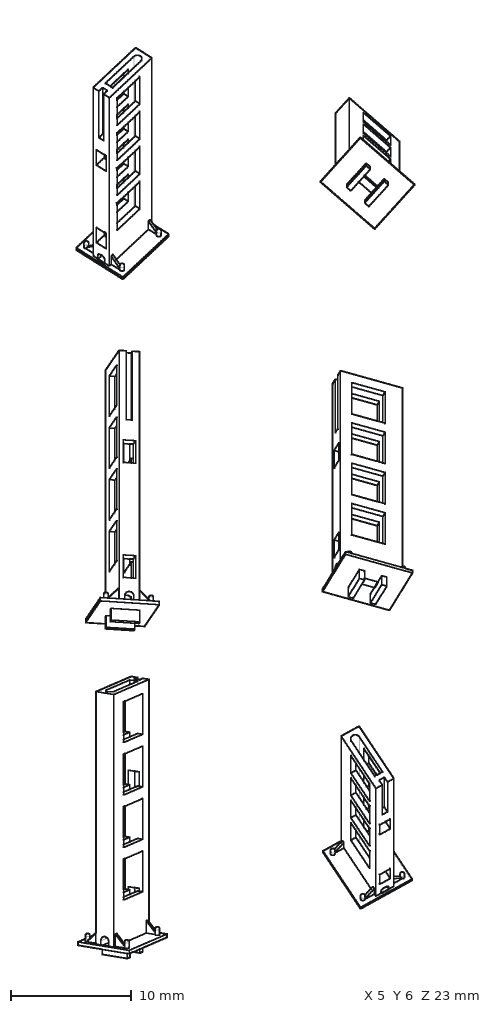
import cadquery as cq

TOTAL_HEIGHT = 23
PLATE_WIDTH = 5.0
PLATE_LENGTH = 6.0
PLATE_THICKNESS = 0.3

TAB_WIDTH = 2.44
TAB_THICKNESS = 0.45
TAB_HEIGHT = 1.01
TAB_SPACING = 2.0

COLUMN_WIDTH = 1.75
COLUMN_LENGTH = 5.57
PLATE_TOP = TAB_HEIGHT + PLATE_THICKNESS
COLUMN_FRONT = -COLUMN_LENGTH / 2

WINDOW_COUNT = 4
WINDOW_LENGTH = 3
WINDOW_HEIGHT = 3.5
WINDOW_PITCH = 4.5
WINDOW_TOP_MARGIN = 1.0
WINDOW_FRONT = -1.77

SLOT_WIDTH = 0.75
SLOT_BACK = 2.32

OPENING_LENGTH = 1.7

GROOVE_WIDTH = 0.5
GROOVE_DEPTH = 0.5
GROOVE_LENGTH = 6.0

POCKET_WIDTH = 1.04
POCKET_HEIGHT = 1.95
POCKET_BOTTOMS = (3.27, 13.27)

ARCH_HEIGHT = 0.75

CHANNEL_DEPTH = 0.1

PIN_DIAMETER = 0.4
PIN_SHAFT_HEIGHT = 0.48
PIN_SPACING_X = 3.82
PIN_SPACING_Y = 4.8
RIB_THICKNESS = 0.23
RIB_HEIGHT = 1.05
RIB_SPACING_Y = 4.88


def block(x_range, y_range, z_range):
    """Box filling the given ranges along X, Y and Z."""
    (x0, x1), (y0, y1), (z0, z1) = x_range, y_range, z_range
    return cq.Workplane("XY").box(x1 - x0, y1 - y0, z1 - z0, centered=False).translate((x0, y0, z0))


def centered(size):
    """Range of the given size centred on zero."""
    return (-size / 2, size / 2)


def make_base():
    base = block(centered(PLATE_WIDTH), centered(PLATE_LENGTH), (TAB_HEIGHT, PLATE_TOP))
    for side in (-1, 1):
        tab = block(centered(TAB_WIDTH), centered(TAB_THICKNESS), (0, TAB_HEIGHT))
        base = base.union(tab.translate((0, side * TAB_SPACING / 2, 0)))
    return base


def make_pin():
    """Round pin with a domed end, standing at the origin."""
    radius = PIN_DIAMETER / 2
    shaft = cq.Workplane("XY").circle(radius).extrude(PIN_SHAFT_HEIGHT)
    return shaft.union(cq.Workplane("XY").sphere(radius).translate((0, 0, PIN_SHAFT_HEIGHT)))


def make_rib(side):
    """45 degree triangular rib leaning on one side face of the column."""
    wall = COLUMN_WIDTH / 2
    profile = [(side * wall, 0), (side * (wall + RIB_HEIGHT), 0), (side * wall, RIB_HEIGHT)]
    return cq.Workplane("XZ").polyline(profile).close().extrude(RIB_THICKNESS / 2, both=True)


def add_corner_supports(body):
    """Pin and rib at each of the four plate corners."""
    for side_x in (-1, 1):
        for side_y in (-1, 1):
            pin = make_pin().translate((side_x * PIN_SPACING_X / 2, side_y * PIN_SPACING_Y / 2, PLATE_TOP))
            rib = make_rib(side_x).translate((0, side_y * RIB_SPACING_Y / 2, PLATE_TOP))
            body = body.union(pin).union(rib)
    return body


def cut_windows(body):
    top = TOTAL_HEIGHT - WINDOW_TOP_MARGIN
    for index in range(WINDOW_COUNT):
        window_top = top - index * WINDOW_PITCH
        body = body.cut(
            block(
                centered(COLUMN_WIDTH),
                (WINDOW_FRONT, WINDOW_FRONT + WINDOW_LENGTH),
                (window_top - WINDOW_HEIGHT, window_top),
            )
        )
    return body


def cut_slot(body):
    """Slot down to the plate, and its opening through the plate between the tabs."""
    half = SLOT_WIDTH / 2
    slot = (
        cq.Workplane("XY", origin=(0, 0, PLATE_TOP))
        .moveTo(-half, WINDOW_FRONT)
        .lineTo(half, WINDOW_FRONT)
        .lineTo(half, SLOT_BACK - half)
        .threePointArc((0, SLOT_BACK), (-half, SLOT_BACK - half))
        .close()
        .extrude(TOTAL_HEIGHT - PLATE_TOP)
    )
    opening = block(centered(SLOT_WIDTH), centered(OPENING_LENGTH), (TAB_HEIGHT, PLATE_TOP))
    return body.cut(slot).cut(opening)


def cut_front_face(body):
    """Groove from the top edge and the pockets below it."""
    groove = block(
        centered(GROOVE_WIDTH),
        (COLUMN_FRONT, COLUMN_FRONT + GROOVE_DEPTH),
        (TOTAL_HEIGHT - GROOVE_LENGTH, TOTAL_HEIGHT),
    )
    body = body.cut(groove)
    for bottom in POCKET_BOTTOMS:
        pocket = block(centered(POCKET_WIDTH), (COLUMN_FRONT, WINDOW_FRONT), (bottom, bottom + POCKET_HEIGHT))
        body = body.cut(pocket)
    return body


def cut_passage(body):
    """Arched passage along Y and the shallow channel in the plate below it."""
    half = SLOT_WIDTH / 2
    spring = ARCH_HEIGHT - half
    arch = (
        cq.Workplane("XZ", origin=(0, 0, PLATE_TOP))
        .moveTo(-half, 0)
        .lineTo(half, 0)
        .lineTo(half, spring)
        .threePointArc((0, ARCH_HEIGHT), (-half, spring))
        .close()
        .extrude(COLUMN_LENGTH / 2, both=True)
    )
    channel = block(centered(SLOT_WIDTH), centered(COLUMN_LENGTH), (PLATE_TOP - CHANNEL_DEPTH, PLATE_TOP))
    return body.cut(arch).cut(channel)


column = block(centered(COLUMN_WIDTH), centered(COLUMN_LENGTH), (PLATE_TOP, TOTAL_HEIGHT))
result = add_corner_supports(make_base().union(column))
result = cut_windows(result)
result = cut_slot(result)
result = cut_front_face(result)
result = cut_passage(result)